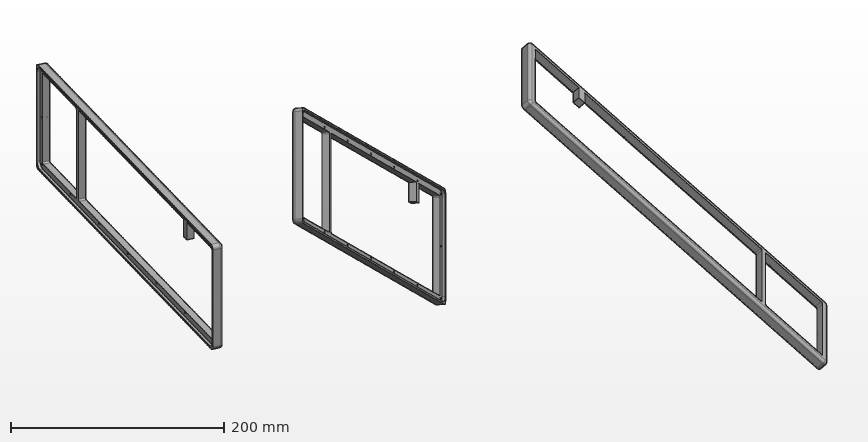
import cadquery as cq

LENGTH = 401.0
DEPTH = 10.5
HEIGHT = 111.0
CORNER_RADIUS = 4.0
BACK_FILLET = 3.0

RIM_WIDTH = 1.8
RECESS_CORNER_RADIUS = 6.0
RECESS_DEPTH = 3.0

FRAME_WIDTH = 7.5
WINDOW_LENGTH = LENGTH - 2 * FRAME_WIDTH
WINDOW_HEIGHT = HEIGHT - 2 * FRAME_WIDTH

WINDOW_CORNER_RADIUS = 1.5

BAR_WIDTH = 5.0
BAR_X = -114.0

TAB_WIDTH = 8.0
TAB_X = 130.5
TAB_BOTTOM_Z = 29.5

HOLE_DIAMETER = 1.6
HOLE_DEPTH = 5.0
HOLE_INSET = 5.5
HOLE_SPACES = 6
HOLE_X = LENGTH / 2 - HOLE_INSET
HOLE_Z = HEIGHT / 2 - HOLE_INSET
HOLE_PITCH = 2 * HOLE_X / HOLE_SPACES

FRONT_Y = -DEPTH / 2
BACK_Y = DEPTH / 2
FACE_Y = FRONT_Y + RECESS_DEPTH


def block(length, height, y_start, y_end, x=0.0, z=0.0):
    """Box centred on (x, z) that spans y_start to y_end."""
    centre = (x, (y_start + y_end) / 2, z)
    return cq.Workplane("XY").box(length, y_end - y_start, height).translate(centre)


def make_shell():
    """Outer body with rounded corners and a rounded back edge."""
    body = block(LENGTH, HEIGHT, FRONT_Y, BACK_Y).edges("|Y").fillet(CORNER_RADIUS)
    return body.faces(">Y").edges().fillet(BACK_FILLET)


def make_recess():
    """Front pocket, with broadly rounded corners that widen the rim."""
    length = LENGTH - 2 * RIM_WIDTH
    height = HEIGHT - 2 * RIM_WIDTH
    pocket = block(length, height, FRONT_Y, FACE_Y)
    return pocket.edges("|Y").fillet(RECESS_CORNER_RADIUS)


def make_window(left_x, right_x):
    """Opening through the frame with rounded corners, from left_x to right_x."""
    opening = block(right_x - left_x, WINDOW_HEIGHT, FRONT_Y, BACK_Y, x=(left_x + right_x) / 2)
    return opening.edges("|Y").fillet(WINDOW_CORNER_RADIUS)


def make_tab():
    """Tab hanging from the top of the window."""
    top_z = WINDOW_HEIGHT / 2
    middle_z = (top_z + TAB_BOTTOM_Z) / 2
    return block(TAB_WIDTH, top_z - TAB_BOTTOM_Z, FACE_Y, BACK_Y, x=TAB_X, z=middle_z)


def make_holes():
    """Blind holes along the top and bottom, plus one midway up each end."""
    places = [(-HOLE_X, 0.0), (HOLE_X, 0.0)]
    for i in range(HOLE_SPACES + 1):
        x = -HOLE_X + i * HOLE_PITCH
        places += [(x, -HOLE_Z), (x, HOLE_Z)]
    face = cq.Workplane("XZ", origin=(0, FACE_Y, 0))
    return face.pushPoints(places).circle(HOLE_DIAMETER / 2).extrude(-HOLE_DEPTH)


small_window = make_window(-WINDOW_LENGTH / 2, BAR_X - BAR_WIDTH / 2)
large_window = make_window(BAR_X + BAR_WIDTH / 2, WINDOW_LENGTH / 2)
frame = make_shell().cut(make_recess()).cut(small_window).cut(large_window)
result = frame.union(make_tab()).cut(make_holes())